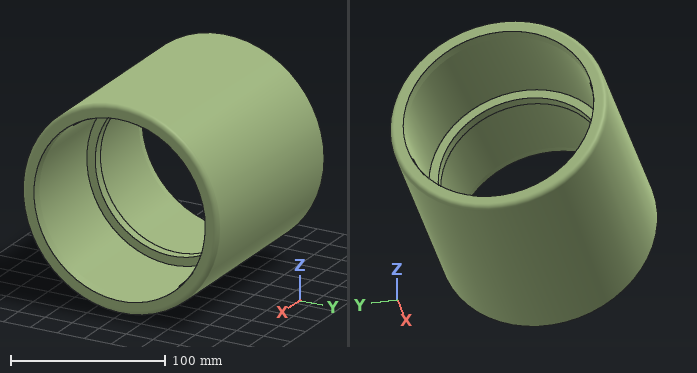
import cadquery as cq

length = 145.0
outer_diameter = 146.0
socket_diameter = 125.0
stop_diameter = 112.5
stop_width = 7.0
edge_radius = 3.5

mouth_diameter = 127.0
mouth_depth = 6.0

half_length = length / 2
half_stop = stop_width / 2


def make_cylinder(diameter):
    """Full-length solid cylinder along X, centred on the origin."""
    end_plane = cq.Workplane("YZ", origin=(-half_length, 0, 0))
    return end_plane.circle(diameter / 2).extrude(length)


def make_body():
    """Outer cylinder with rounded end edges."""
    return make_cylinder(outer_diameter).edges("%CIRCLE").fillet(edge_radius)


def make_socket(side):
    """Socket cavity with a conical mouth, at the -X (side=-1) or +X (side=1) end."""
    mouth_x = side * half_length
    cone_end_x = side * (half_length - mouth_depth)
    floor_x = side * half_stop
    half_section = (
        cq.Workplane("XY")
        .moveTo(mouth_x, 0)
        .lineTo(mouth_x, mouth_diameter / 2)
        .lineTo(cone_end_x, socket_diameter / 2)
        .lineTo(floor_x, socket_diameter / 2)
        .lineTo(floor_x, 0)
        .close()
    )
    return half_section.revolve(360, (0, 0, 0), (1, 0, 0))


result = make_body().cut(make_cylinder(stop_diameter))
for end_side in (-1, 1):
    result = result.cut(make_socket(end_side))